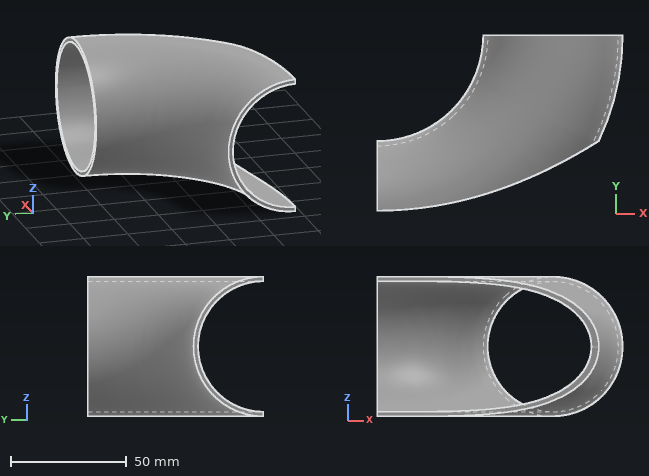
import cadquery as cq

overall_length = 106.2
outer_diameter = 60.4
wall_thickness = 2.0
bend_angle = 90.0

outer_radius = outer_diameter / 2
inner_radius = outer_radius - wall_thickness
bend_radius = overall_length - outer_radius


def pipe_elbow():
    """Pipe bend about the Z axis, from the +X end face round to the end face at X = 0."""
    return (
        cq.Workplane("XZ")
        .center(bend_radius, 0)
        .circle(outer_radius)
        .circle(inner_radius)
        .revolve(bend_angle, (-bend_radius, 0), (-bend_radius, -1))
    )


def saddle_cutter():
    """Solid below the parabola where the bend meets an equal straight pipe along X.

    With the straight pipe axis at Y = -bend_radius, the two surfaces meet on
    y = x^2 / (4 * bend_radius) - bend_radius, with its vertex on the bend centreline.
    """
    end_x = overall_length
    end_y = end_x**2 / (4 * bend_radius) - bend_radius
    floor_y = -(bend_radius + outer_diameter)
    parabola_controls = [(0, -bend_radius), (end_x / 2, -bend_radius), (end_x, end_y)]
    return (
        cq.Workplane("XY")
        .moveTo(0, -bend_radius)
        .bezier(parabola_controls)
        .lineTo(end_x, floor_y)
        .lineTo(0, floor_y)
        .close()
        .extrude(outer_diameter, both=True)
    )


result = pipe_elbow().cut(saddle_cutter())